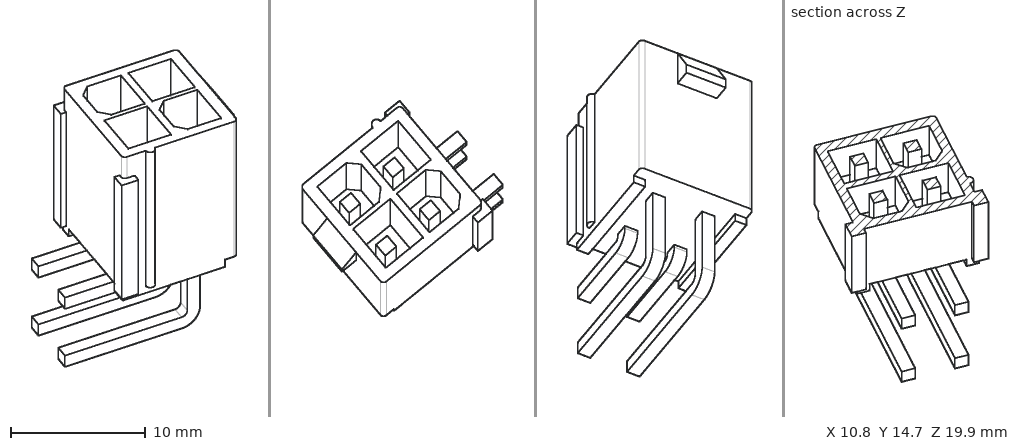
import cadquery as cq


body_width = 9.6
body_depth = 9.63
body_height = 12.81
corner_radius = 0.32

pitch = 4.2
pin_size = 1.08
front_row_y = 2.87
pin_front_reach = 3.73
pin_tip_recess = 3.99
row_drop = 5.5
part_height = 19.93
front_bend_radius = 0.3
rear_bend_radius = 0.48

cavity_width = 3.8
cavity_depth = 9.96
cavity_size_y = 3.59
cavity_wall = 0.35
cavity_front_y = 0.88
cavity_chamfer = 0.78

latch_width = 3.35
latch_reach = 1.35
latch_slope_height = 2.21
latch_height = 3.03
latch_root = 0.2

flange_overall_width = 10.8
flange_width = 1.15
flange_size_y = 1.42
flange_front_reach = 0.44
flange_top_recess = 2.01

foot_width = 0.98
foot_length = 8.57
foot_height = 0.68
foot_root = 0.32
rib_radius = 0.38
rib_y = 2.27

sides = (-1, 1)


def block(x_min, y_min, z_min, size_x, size_y, size_z):
    """Box placed by its lowest corner."""
    box = cq.Workplane("XY").box(size_x, size_y, size_z, centered=False)
    return box.translate((x_min, y_min, z_min))


def make_housing():
    shell = block(-body_width / 2, 0, 0, body_width, body_depth, body_height)
    shell = shell.edges("|Z").fillet(corner_radius)
    rib = cq.Workplane("XY").center(body_width / 2, rib_y).circle(rib_radius).extrude(body_height)
    return shell.union(rib)


def make_latch():
    """Wedge that slopes out from the top edge and ends in a flat catch."""
    rear = body_depth
    profile = [
        (rear - latch_root, body_height),
        (rear, body_height),
        (rear + latch_reach, body_height - latch_slope_height),
        (rear + latch_reach, body_height - latch_height),
        (rear - latch_root, body_height - latch_height),
    ]
    return cq.Workplane("YZ").polyline(profile).close().extrude(latch_width / 2, both=True)


def make_flange(side):
    center_x = side * (flange_overall_width - flange_width) / 2
    return block(
        center_x - flange_width / 2, -flange_front_reach, 0,
        flange_width, flange_size_y, body_height - flange_top_recess,
    )


def make_foot(side):
    center_x = side * (body_width - foot_width) / 2
    return block(
        center_x - foot_width / 2, 0, -foot_height,
        foot_width, foot_length, foot_height + foot_root,
    )


def make_cavity(column, row):
    """Cavity open at the top; one diagonal pair has its front corners cut off for keying."""
    center_x = column * (cavity_wall + cavity_width) / 2
    cavity = block(
        center_x - cavity_width / 2, cavity_front_y + row * pitch, body_height - cavity_depth,
        cavity_width, cavity_size_y, cavity_depth,
    )
    is_keyed = (column < 0) == (row == 0)
    if is_keyed:
        cavity = cavity.edges("|Z and <Y").chamfer(cavity_chamfer)
    return cavity


def make_pin(column, row):
    """Square pin that runs down from the cavity and bends forward; the rear row hangs lower."""
    rear_y = front_row_y + row * pitch + pin_size / 2
    front_y = rear_y - pin_size
    tip_z = body_height - pin_tip_recess
    bottom_z = body_height - part_height + (1 - row) * row_drop
    top_z = bottom_z + pin_size
    inner_radius = rear_bend_radius if row else front_bend_radius
    outer_radius = inner_radius + pin_size
    outline = (
        cq.Workplane("YZ")
        .moveTo(front_y, tip_z)
        .lineTo(rear_y, tip_z)
        .lineTo(rear_y, bottom_z + outer_radius)
        .radiusArc((rear_y - outer_radius, bottom_z), outer_radius)
        .lineTo(-pin_front_reach, bottom_z)
        .lineTo(-pin_front_reach, top_z)
        .lineTo(front_y - inner_radius, top_z)
        .radiusArc((front_y, top_z + inner_radius), -inner_radius)
        .close()
    )
    pin = outline.extrude(pin_size / 2, both=True)
    return pin.translate((column * pitch / 2, 0, 0))


result = make_housing().union(make_latch())
for side in sides:
    result = result.union(make_flange(side)).union(make_foot(side))

positions = [(column, row) for column in sides for row in (0, 1)]
for column, row in positions:
    result = result.cut(make_cavity(column, row))
for column, row in positions:
    result = result.union(make_pin(column, row))